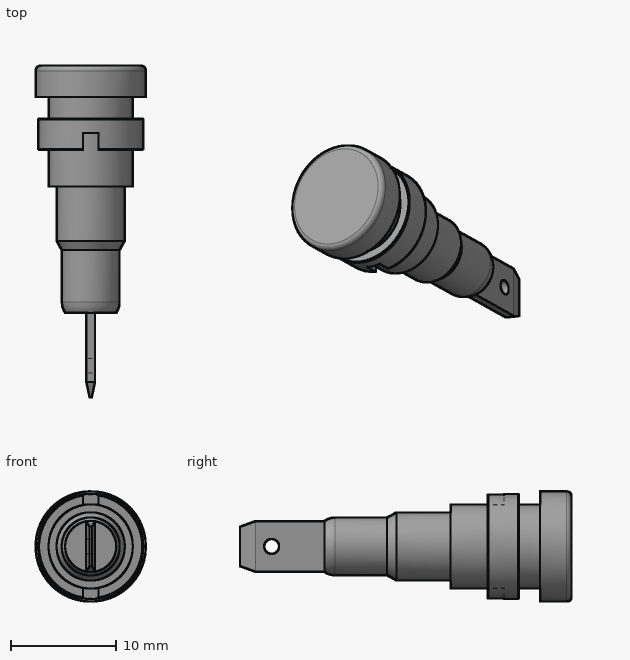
import cadquery as cq
import math

total_length = 31.5
back_y = total_length / 2

head_diameter = 10.5
head_end = 3.0
head_round = 0.5
neck_diameter = 8.0
ring_diameter = 10.0
ring_start = 5.0
ring_end = 8.0
ring_chamfer = 0.1
neck_end = 11.5
barrel_diameter = 6.5
barrel_end = 16.63
nose_diameter = 5.5
nose_start = 17.5
nose_round_start = 22.45
nose_end = 23.47
nose_end_diameter = 4.85

slot_width = 1.45
slot_start = 6.43

blade_width = 4.82
blade_thickness = 0.85
blade_embed = 0.63
taper_start = 30.02
tip_width = 3.75
tip_thickness = 0.22
hole_diameter = 1.4
hole_position = 28.48


def from_back(distance):
    """Y coordinate at a distance from the back face of the head."""
    return back_y - distance


def make_body():
    """Revolve the stepped half profile about the Y axis."""
    head_radius = head_diameter / 2
    neck_radius = neck_diameter / 2
    ring_radius = ring_diameter / 2
    barrel_radius = barrel_diameter / 2
    nose_radius = nose_diameter / 2
    nose_end_radius = nose_end_diameter / 2
    round_inset = head_round * (1 - math.sqrt(0.5))
    return (
        cq.Workplane("XY")
        .moveTo(0, back_y)
        .lineTo(head_radius - head_round, back_y)
        .threePointArc(
            (head_radius - round_inset, from_back(round_inset)),
            (head_radius, from_back(head_round)),
        )
        .lineTo(head_radius, from_back(head_end))
        .lineTo(neck_radius, from_back(head_end))
        .lineTo(neck_radius, from_back(ring_start))
        .lineTo(ring_radius - ring_chamfer, from_back(ring_start))
        .lineTo(ring_radius, from_back(ring_start + ring_chamfer))
        .lineTo(ring_radius, from_back(ring_end - ring_chamfer))
        .lineTo(ring_radius - ring_chamfer, from_back(ring_end))
        .lineTo(neck_radius, from_back(ring_end))
        .lineTo(neck_radius, from_back(neck_end))
        .lineTo(barrel_radius, from_back(neck_end))
        .lineTo(barrel_radius, from_back(barrel_end))
        .lineTo(nose_radius, from_back(nose_start))
        .lineTo(nose_radius, from_back(nose_round_start))
        .tangentArcPoint((nose_end_radius, from_back(nose_end)), relative=False)
        .lineTo(0, from_back(nose_end))
        .close()
        .revolve(360, (0, 0, 0), (0, 1, 0))
    )


def make_slots():
    """Cutter for the top and bottom ring slots, stopping at the neck surface."""
    slot_length = ring_end - slot_start
    bar = (
        cq.Workplane("XY")
        .box(slot_width, slot_length, head_diameter)
        .translate((0, from_back((slot_start + ring_end) / 2), 0))
    )
    neck_core = (
        cq.Workplane("XZ", origin=(0, from_back(slot_start), 0))
        .circle(neck_diameter / 2)
        .extrude(slot_length)
    )
    return bar.cut(neck_core)


def tapered_outline(plane, size, tip_size):
    """Closed blade outline, narrowing from size to tip_size at the tip."""
    return (
        cq.Workplane(plane)
        .polyline([
            (-size / 2, from_back(nose_end - blade_embed)),
            (size / 2, from_back(nose_end - blade_embed)),
            (size / 2, from_back(taper_start)),
            (tip_size / 2, from_back(total_length)),
            (-tip_size / 2, from_back(total_length)),
            (-size / 2, from_back(taper_start)),
        ])
        .close()
    )


def make_blade():
    """Blade tapered in both width and thickness, with a cross hole."""
    thickness_shape = tapered_outline("XY", blade_thickness, tip_thickness).extrude(blade_width, both=True)
    width_shape = tapered_outline("ZY", blade_width, tip_width).extrude(blade_width, both=True)
    hole = (
        cq.Workplane("YZ")
        .center(from_back(hole_position), 0)
        .circle(hole_diameter / 2)
        .extrude(blade_width, both=True)
    )
    return thickness_shape.intersect(width_shape).cut(hole)


result = make_body().cut(make_slots()).union(make_blade())